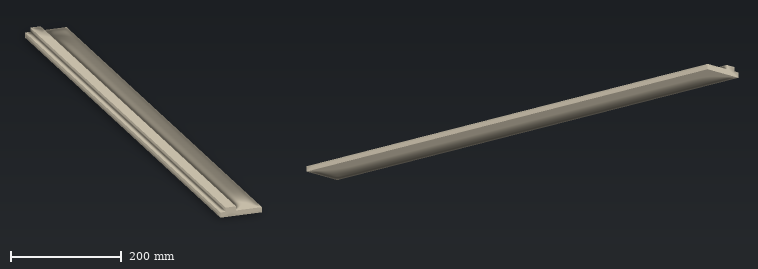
import cadquery as cq

length = 1000.0
width = 80.0
height = 18.0

base_thickness = 10.0
rib_width = 20.0
front_ledge = 10.0

base = cq.Workplane("XY").box(length, width, base_thickness, centered=(True, True, False))

rib_center_y = -width / 2 + front_ledge + rib_width / 2
rib = (
    cq.Workplane("XY")
    .box(length, rib_width, height, centered=(True, True, False))
    .translate((0, rib_center_y, 0))
)

result = base.union(rib)